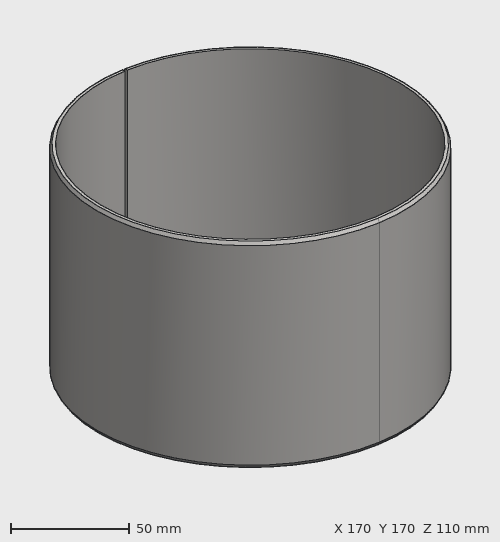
import cadquery as cq

outer_diameter = 170.0
wall = 2.5
height = 110.0
slit_width = 1.4
chamfer_height = 1.7
chamfer_depth = 1.0

outer_radius = outer_diameter / 2
inner_radius = outer_radius - wall


def make_sleeve():
    """Revolve the wall section, chamfered on the outside at both ends."""
    section = [
        (inner_radius, 0),
        (outer_radius - chamfer_depth, 0),
        (outer_radius, chamfer_height),
        (outer_radius, height - chamfer_height),
        (outer_radius - chamfer_depth, height),
        (inner_radius, height),
    ]
    return cq.Workplane("XZ").polyline(section).close().revolve(360, (0, 0, 0), (0, 1, 0))


def make_slit():
    """Full-height cutter through the wall on the -X side, with one face on the XZ plane."""
    return (
        cq.Workplane("XY")
        .box(outer_radius, slit_width, height, centered=False)
        .translate((-outer_radius, 0, 0))
    )


result = make_sleeve().cut(make_slit())